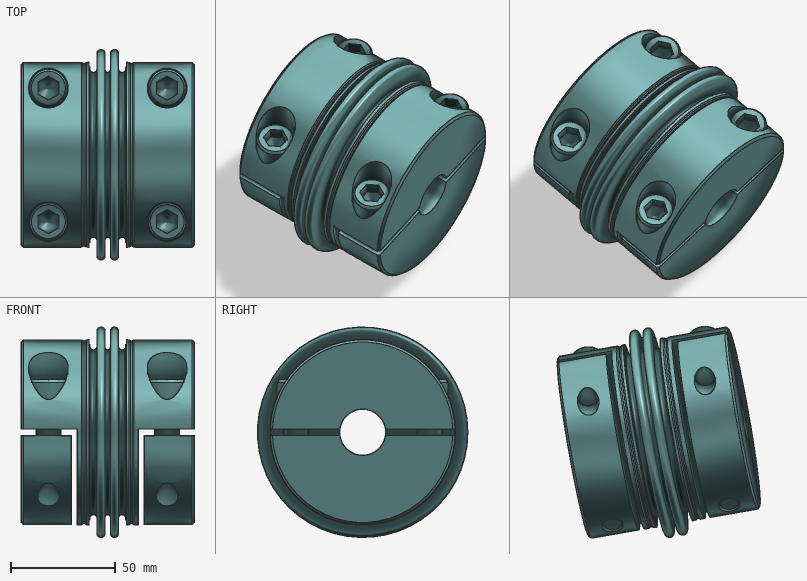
import cadquery as cq
import math

overall_length = 83.0
end_x = overall_length / 2
bore_diameter = 22.0

hub_radius = 88.6 / 2
hub_chamfer = 1.1

groove_outer_x = 12.5
groove_inner_x = 10.3
groove_flank = 0.7
groove_depth = 0.5
ring_flare_x = 9.6
ring_lip_radius = 89.0 / 2
ring_inner_x = 8.9
collar_radius = 42.1
collar_inner_x = 8.5

bellows_radius = 100.8 / 2
crest_radius = 2.0
valley_radius = 1.2
crest_x = crest_radius + valley_radius
end_valley_x = 6.7
valley_bottom = 39.5
valley_center = valley_bottom + valley_radius
crest_center = bellows_radius - crest_radius
end_valley_outer_radius = 40.7

slot_height = 3.1
cross_cut_outer_x = 17.4
cross_cut_inner_x = 14.6

screw_x = 28.4
screw_y = 32.0
shank_diameter = 12.0
screw_length = 35.0
thread_hole_diameter = 10.2
head_diameter = 18.0
head_height = 12.0
head_edge_width = 0.9
head_edge_height = 1.4
head_top_z = 25.2
head_seat_z = head_top_z - head_height
screw_tip_z = head_seat_z - screw_length
pocket_diameter = 19.0
hex_across_flats = 10.0
hex_across_corners = hex_across_flats / math.cos(math.pi / 6)
socket_depth = 9.1
socket_tip_angle = 120


def draw_crest(outline, center_x):
    """Continue the outline over one crest, from its +X side to its -X side."""
    return (
        outline.lineTo(center_x + crest_radius, crest_center)
        .threePointArc((center_x, bellows_radius), (center_x - crest_radius, crest_center))
        .lineTo(center_x - crest_radius, valley_center)
    )


def make_body():
    """Revolve the outline of the hubs and bellows around the bore."""
    half_outline = [
        (end_x, bore_diameter / 2),
        (end_x, hub_radius - hub_chamfer),
        (end_x - hub_chamfer, hub_radius),
        (groove_outer_x, hub_radius),
        (groove_outer_x - groove_flank, hub_radius - groove_depth),
        (groove_inner_x + groove_flank, hub_radius - groove_depth),
        (groove_inner_x, hub_radius),
        (ring_flare_x, hub_radius),
        (ring_inner_x, ring_lip_radius),
        (ring_inner_x, collar_radius),
        (collar_inner_x, collar_radius),
        (collar_inner_x, end_valley_outer_radius),
    ]
    mirrored_outline = [(-x, radius) for x, radius in reversed(half_outline)]
    crest_foot_x = crest_x + crest_radius

    outline = cq.Workplane("XY").polyline(half_outline)
    outline = outline.threePointArc((end_valley_x, valley_bottom), (crest_foot_x, valley_center))
    outline = draw_crest(outline, crest_x)
    outline = outline.threePointArc((0, valley_bottom), (-valley_radius, valley_center))
    outline = draw_crest(outline, -crest_x)
    outline = outline.threePointArc((-end_valley_x, valley_bottom), mirrored_outline[0])
    for point in mirrored_outline[1:]:
        outline = outline.lineTo(*point)
    return outline.close().revolve(360, (0, 0, 0), (1, 0, 0))


def box_between(x_range, z_range):
    """Box across the full hub width between two X and two Z positions."""
    return (
        cq.Workplane("XY")
        .box(x_range[1] - x_range[0], 2 * bellows_radius, z_range[1] - z_range[0])
        .translate((sum(x_range) / 2, 0, sum(z_range) / 2))
    )


def cylinder(diameter, bottom_z, top_z):
    """Upright cylinder on the Z axis."""
    return (
        cq.Workplane("XY", origin=(0, 0, bottom_z)).circle(diameter / 2).extrude(top_z - bottom_z)
    )


def make_clamp_slots():
    """L-shaped cut that frees the lower half of the +X hub."""
    half_slot = slot_height / 2
    level_slot = box_between((cross_cut_inner_x, end_x), (-half_slot, half_slot))
    cross_cut = box_between((cross_cut_inner_x, cross_cut_outer_x), (-bellows_radius, half_slot))
    return level_slot.union(cross_cut)


def make_hex_socket():
    """Hexagonal recess in the screw head with a conical floor."""
    cone_radius = head_diameter / 2
    tan_half_tip = math.tan(math.radians(socket_tip_angle / 2))
    tip_z = head_top_z - socket_depth
    rim_z = tip_z + cone_radius / tan_half_tip
    cone_space = (
        cq.Workplane("XZ")
        .polyline(
            [(0, tip_z), (cone_radius, rim_z), (cone_radius, bellows_radius), (0, bellows_radius)]
        )
        .close()
        .revolve(360, (0, 0, 0), (0, 1, 0))
    )
    hexagon = (
        cq.Workplane("XY", origin=(0, 0, tip_z))
        .polygon(6, hex_across_corners)
        .extrude(socket_depth)
        .rotate((0, 0, 0), (0, 0, 1), 90)
    )
    return hexagon.intersect(cone_space)


def make_screw():
    """Socket-head clamp screw standing on the Z axis."""
    head_radius = head_diameter / 2
    shank_radius = shank_diameter / 2
    screw = (
        cq.Workplane("XZ")
        .polyline(
            [
                (0, screw_tip_z),
                (shank_radius, screw_tip_z),
                (shank_radius, head_seat_z),
                (head_radius, head_seat_z),
                (head_radius, head_top_z - head_edge_height),
                (head_radius - head_edge_width, head_top_z),
                (0, head_top_z),
            ]
        )
        .close()
        .revolve(360, (0, 0, 0), (0, 1, 0))
    )
    return screw.cut(make_hex_socket())


def make_screw_holes():
    """Head pocket open at the top and threaded hole open at the bottom."""
    pocket = cylinder(pocket_diameter, head_seat_z, bellows_radius)
    thread_hole = cylinder(thread_hole_diameter, -bellows_radius, screw_tip_z)
    return pocket.union(thread_hole)


result = make_body()

slots = make_clamp_slots()
result = result.cut(slots).cut(slots.mirror("YZ"))

screw_holes = make_screw_holes()
screw = make_screw()
for x in (-screw_x, screw_x):
    for y in (-screw_y, screw_y):
        result = result.cut(screw_holes.translate((x, y, 0)))
        result = result.union(screw.translate((x, y, 0)))